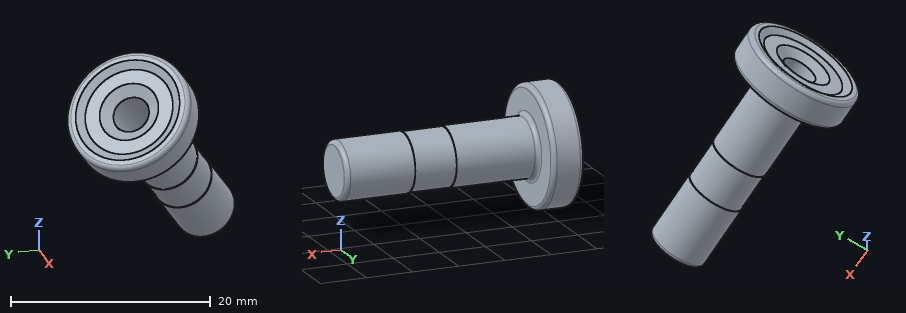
import cadquery as cq

total_length = 24.5
head_radius = 6.505
head_thickness = 3.5
shank_radius = 3.18
edge_radius = 0.5

band_start = 12.47
band_width = 4.48
band_depth = 0.07

recess_mouth_radius = 5.5
recess_floor_radius = 4.63
recess_depth = 0.45

countersink_radius = 3.1
countersink_depth = 0.69
bore_radius = 1.89
bore_corner_radius = 0.27
end_wall = shank_radius - bore_radius


def revolve_about_x(outline):
    """Turn a closed (x, radius) outline one full revolution about the X axis."""
    return outline.close().revolve(360, (0, 0, 0), (1, 0, 0))


def make_body():
    """Rounded head and shank with the shallow band turned into it."""
    band_end = band_start + band_width
    band_radius = shank_radius - band_depth
    plain = revolve_about_x(
        cq.Workplane("XY")
        .polyline([
            (0, 0),
            (0, head_radius),
            (head_thickness, head_radius),
            (head_thickness, shank_radius),
            (total_length, shank_radius),
            (total_length, 0),
        ])
    )
    rounded = plain.edges("%CIRCLE").fillet(edge_radius)
    band = revolve_about_x(
        cq.Workplane("XY")
        .polyline([
            (band_start, band_radius),
            (band_start, head_radius),
            (band_end, head_radius),
            (band_end, band_radius),
        ])
    )
    return rounded.cut(band)


def make_cavity():
    """Recess, countersink and blind bore, all opening through the head face."""
    countersink_end = recess_depth + countersink_depth
    bore_end = total_length - end_wall
    cavity = revolve_about_x(
        cq.Workplane("XY")
        .polyline([
            (0, 0),
            (0, recess_mouth_radius),
            (recess_depth, recess_floor_radius),
            (recess_depth, countersink_radius),
            (countersink_end, bore_radius),
            (bore_end, bore_radius),
            (bore_end, 0),
        ])
    )
    return cavity.faces(">X").edges().fillet(bore_corner_radius)


result = make_body().cut(make_cavity())